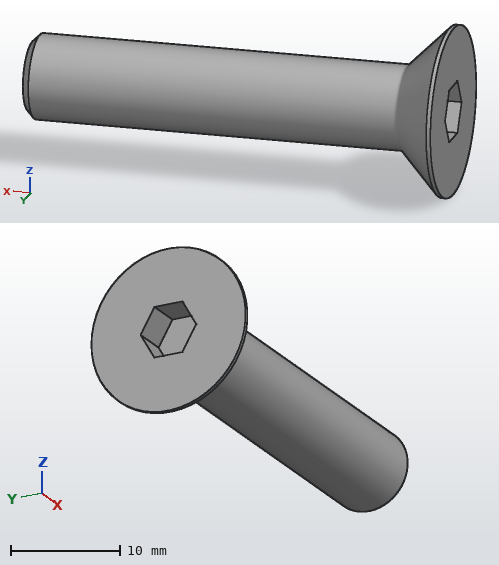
import cadquery as cq
import math

length = 40.0
head_diameter = 16.0
shank_diameter = 8.0
rim_width = 0.4
cone_angle = 90.0
neck_radius = 0.5
tip_chamfer = 0.7
socket_across_flats = 5.0
socket_depth = 3.5

head_radius = head_diameter / 2
shank_radius = shank_diameter / 2
half_angle = math.radians(cone_angle / 2)
cone_length = (head_radius - shank_radius) / math.tan(half_angle)
neck_x = rim_width + cone_length

neck_tangent = neck_radius * math.tan(half_angle / 2)
neck_start = (
    neck_x - neck_tangent * math.cos(half_angle),
    shank_radius + neck_tangent * math.sin(half_angle),
)
neck_middle = (
    neck_x + neck_tangent - neck_radius * math.sin(half_angle / 2),
    shank_radius + neck_radius * (1 - math.cos(half_angle / 2)),
)
neck_end = (neck_x + neck_tangent, shank_radius)


def screw_body():
    """Revolve the half profile of head, neck and shank about the X axis."""
    return (
        cq.Workplane("XY")
        .moveTo(0, 0)
        .lineTo(0, head_radius)
        .lineTo(rim_width, head_radius)
        .lineTo(*neck_start)
        .threePointArc(neck_middle, neck_end)
        .lineTo(length - tip_chamfer, shank_radius)
        .lineTo(length, shank_radius - tip_chamfer)
        .lineTo(length, 0)
        .close()
        .revolve(360, (0, 0, 0), (1, 0, 0))
    )


def hex_socket():
    """Hexagonal prism with two corners on the Y axis and flats facing Z."""
    across_corners = socket_across_flats / math.cos(math.pi / 6)
    return cq.Workplane("YZ").polygon(6, across_corners).extrude(socket_depth)


result = screw_body().cut(hex_socket()).translate((-length / 2, 0, 0))